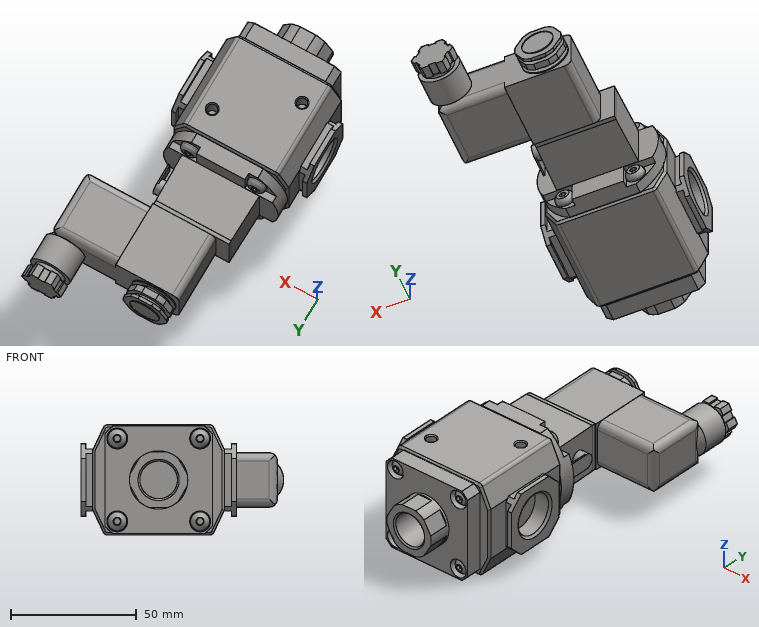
import cadquery as cq
import math


BODY_FRONT = -22.6
BODY_REAR = 21.6
BODY_HALF_WIDTH = 26.3
BODY_HALF_HEIGHT = 22.0
BODY_SIDE_FLAT_HALF = 11.8
BODY_TOP_HALF = 21.5
BODY_EDGE_RADIUS = 2.0
BODY_END_CHAMFER = 1.0

MOUNT_HOLE_X = 14.9
MOUNT_HOLE_Y = 10.0
MOUNT_HOLE_DIAMETER = 4.46
MOUNT_HOLE_MOUTH = 5.5
MOUNT_HOLE_DEPTH = 8.0

PORT_FACE_X = 31.0
PORT_FLANGE_THICKNESS = 2.0
PORT_FLANGE_SIZE = 29.0
PORT_FLANGE_CHAMFER = 6.0
PORT_NECK_SIZE = 24.8
PORT_NECK_CHAMFER = 1.8
PORT_BORE = 18.63
PORT_MOUTH = 20.7
PORT_DEPTH = 8.0

COVER_FRONT = -30.1
COVER_SIZE = 42.8
COVER_CHAMFER = 3.0
NUT_FRONT = -41.0
NUT_COLLAR_FRONT = -31.3
NUT_DIAMETER = 23.2
NUT_ACROSS_FLATS = 22.1
NUT_BORE = 14.95
NUT_MOUTH = 16.4
NUT_BORE_DEPTH = 14.0

COVER_SCREW_PITCH = 16.5
COVER_SCREW_RECESS = 8.3
COVER_SCREW_RECESS_DEPTH = 3.5
COVER_SCREW_HEAD = 7.6
COVER_SCREW_TIP = 3.2
SCREW_RIM_HEIGHT = 0.7
SCREW_HEAD_HEIGHT = 3.0
SCREW_DOME_BULGE = 0.4
SCREW_HEX = 2.5
SCREW_HEX_DEPTH = 1.5

PLATE_REAR = 29.3
PLATE_RADIUS = 26.25
PLATE_HALF_HEIGHT = 21.4
PLATE_POCKET_FLOOR = 26.2
PLATE_POCKET_X = 11.1
PLATE_POCKET_Z = 11.3
PLATE_SCREW_PITCH = 15.25
PLATE_SCREW_HEAD = 8.3
PLATE_SCREW_TIP = 5.5

SOLENOID_HALF_HEIGHT = 11.0
BASE_REAR = 52.9
BASE_DRAFT_START = 51.2
BASE_HALF_WIDTH = 17.25
BASE_BAND_HALF_HEIGHT = 10.9
BASE_FOOT_HALF_WIDTH = 17.7

OVERRIDE_Y = 42.2
OVERRIDE_DIAMETER = 6.9
OVERRIDE_LEVER_X = 21.1
OVERRIDE_LEVER_THICKNESS = 0.7
OVERRIDE_LEVER_END = 33.1

COIL_LEFT = -11.2
COIL_RIGHT = 17.7
COIL_REAR = 82.7
COIL_RADIUS = 3.0
PLUG_RIGHT = 47.3
PLUG_FRONT = 53.8
PLUG_RADIUS = 3.4
PLUG_HALF_HEIGHT = 10.9

GLAND_CORE_DIAMETER = 14.95
GLAND_TIP_DIAMETER = 13.5
GLAND_CORE_REAR = 89.0
GLAND_REAR = 90.8
GLAND_RING_DIAMETER = 20.0
GLAND_HEX = 19.0
GLAND_WASHER_THICKNESS = 0.5
GLAND_RINGS = [(84.6, 87.4), (89.0, 90.4)]

CABLE_X = 40.8
CABLE_DIAMETER = 18.0
CABLE_CONE_START = 79.6
CABLE_CONE_DIAMETER = 12.6
CABLE_BARREL_REAR = 94.8
CABLE_NECK_DIAMETER = 13.5
CAP_FRONT = 96.7
CAP_REAR = 102.0
CAP_CORNER_RADIUS = 9.0
CAP_NOTCH_DEPTH = 0.8
HEX_SIDES = 6


def plane_at(y):
    """Plane across the stem axis: local x = X, local y = Z, normal = -Y."""
    return cq.Plane(origin=(0, y, 0), xDir=(1, 0, 0), normal=(0, -1, 0))


def sketch(y, x=0.0, z=0.0):
    return cq.Workplane(plane_at(y)).center(x, z)


def cylinder_y(diameter, y_start, y_end, x=0.0, z=0.0):
    return sketch(y_end, x, z).circle(diameter / 2).extrude(y_end - y_start)


def hexagon_y(across_flats, y_start, y_end, x=0.0, z=0.0):
    corner_diameter = across_flats / math.cos(math.pi / HEX_SIDES)
    return sketch(y_end, x, z).polygon(HEX_SIDES, corner_diameter).extrude(y_end - y_start)


def box_between(x_range, y_range, z_range):
    size = [high - low for low, high in (x_range, y_range, z_range)]
    corner = (x_range[0], y_range[0], z_range[0])
    return cq.Workplane("XY").box(*size, centered=False).translate(corner)


def cone(start_diameter, end_diameter, length, start, direction):
    solid = cq.Solid.makeCone(
        start_diameter / 2, end_diameter / 2, length, cq.Vector(*start), cq.Vector(*direction)
    )
    return cq.Workplane(solid)


def mouth_chamfer(mouth_diameter, bore_diameter, start, direction):
    """45 degree countersink tool from the mouth down to the bore."""
    depth = (mouth_diameter - bore_diameter) / 2
    return cone(mouth_diameter, bore_diameter, depth, start, direction)


def make_body():
    quarter = [(BODY_TOP_HALF, BODY_HALF_HEIGHT), (BODY_HALF_WIDTH, BODY_SIDE_FLAT_HALF)]
    right_side = quarter + [(x, -z) for x, z in reversed(quarter)]
    left_side = [(-x, -z) for x, z in right_side]
    body = sketch(BODY_REAR).polyline(right_side + left_side).close().extrude(BODY_REAR - BODY_FRONT)
    for flat_face in (">Z", "<Z"):
        body = body.faces(flat_face).edges("|Y").fillet(BODY_EDGE_RADIUS)
    body = body.faces("<Y or >Y").chamfer(BODY_END_CHAMFER)
    for side in (-1, 1):
        start = (side * MOUNT_HOLE_X, side * MOUNT_HOLE_Y, BODY_HALF_HEIGHT)
        hole = cq.Workplane("XY", origin=start).circle(MOUNT_HOLE_DIAMETER / 2).extrude(-MOUNT_HOLE_DEPTH)
        body = body.cut(hole).cut(mouth_chamfer(MOUNT_HOLE_MOUTH, MOUNT_HOLE_DIAMETER, start, (0, 0, -1)))
    return body


def port_block(size, chamfer, x_end):
    """Square block with cut corners, from the centre plane out to x_end."""
    return cq.Workplane("YZ").rect(size, size).extrude(x_end).edges("|X").chamfer(chamfer)


def add_port(valve, side):
    neck = port_block(PORT_NECK_SIZE, PORT_NECK_CHAMFER, PORT_FACE_X)
    flange = port_block(PORT_FLANGE_SIZE, PORT_FLANGE_CHAMFER, PORT_FACE_X)
    face = cq.Workplane("YZ", origin=(PORT_FACE_X, 0, 0))
    flange_slab = face.rect(PORT_FLANGE_SIZE, PORT_FLANGE_SIZE).extrude(-PORT_FLANGE_THICKNESS)
    flange = flange.intersect(flange_slab)
    bore = face.circle(PORT_BORE / 2).extrude(-PORT_DEPTH)
    bore = bore.union(mouth_chamfer(PORT_MOUTH, PORT_BORE, (PORT_FACE_X, 0, 0), (-1, 0, 0)))
    port = neck.union(flange)
    if side < 0:
        port = port.mirror("YZ")
        bore = bore.mirror("YZ")
    return valve.union(port).cut(bore)


def make_screw_head(diameter, tip_diameter, seat_y, facing, x, z):
    """Button head with a hexagon socket; facing is +1 or -1 along Y."""
    rim = diameter / 2
    tip = tip_diameter / 2
    middle = ((rim + tip) / 2 + SCREW_DOME_BULGE, (SCREW_RIM_HEIGHT + SCREW_HEAD_HEIGHT) / 2)
    head = (
        cq.Workplane("XY")
        .lineTo(rim, 0)
        .lineTo(rim, SCREW_RIM_HEIGHT)
        .threePointArc(middle, (tip, SCREW_HEAD_HEIGHT))
        .lineTo(0, SCREW_HEAD_HEIGHT)
        .close()
        .revolve(360, (0, 0), (0, 1))
    )
    socket_floor = SCREW_HEAD_HEIGHT - SCREW_HEX_DEPTH
    head = head.cut(hexagon_y(SCREW_HEX, socket_floor, SCREW_HEAD_HEIGHT))
    if facing < 0:
        head = head.mirror("XZ")
    return head.translate((x, seat_y, z))


def corner_signs():
    return [(sx, sz) for sx in (-1, 1) for sz in (-1, 1)]


def make_cover():
    cover = sketch(BODY_FRONT).rect(COVER_SIZE, COVER_SIZE).extrude(BODY_FRONT - COVER_FRONT)
    cover = cover.edges("|Y").chamfer(COVER_CHAMFER)
    seat = COVER_FRONT + COVER_SCREW_RECESS_DEPTH
    for sx, sz in corner_signs():
        x = sx * COVER_SCREW_PITCH
        z = sz * COVER_SCREW_PITCH
        cover = cover.cut(cylinder_y(COVER_SCREW_RECESS, COVER_FRONT, seat, x, z))
        cover = cover.union(make_screw_head(COVER_SCREW_HEAD, COVER_SCREW_TIP, seat, -1, x, z))
    return cover


def add_exhaust_nut(valve):
    collar = cylinder_y(NUT_DIAMETER, NUT_COLLAR_FRONT, COVER_FRONT)
    grip = cylinder_y(NUT_DIAMETER, NUT_FRONT, NUT_COLLAR_FRONT)
    grip = grip.intersect(hexagon_y(NUT_ACROSS_FLATS, NUT_FRONT, NUT_COLLAR_FRONT))
    bore = cylinder_y(NUT_BORE, NUT_FRONT, NUT_FRONT + NUT_BORE_DEPTH)
    bore = bore.union(mouth_chamfer(NUT_MOUTH, NUT_BORE, (0, NUT_FRONT, 0), (0, 1, 0)))
    return valve.union(collar).union(grip).cut(bore)


def make_rear_plate():
    plate = cylinder_y(2 * PLATE_RADIUS, BODY_REAR, PLATE_REAR)
    plate = plate.intersect(box_between(
        (-PLATE_RADIUS, PLATE_RADIUS),
        (BODY_REAR, PLATE_REAR),
        (-PLATE_HALF_HEIGHT, PLATE_HALF_HEIGHT),
    ))
    for sx, sz in corner_signs():
        pocket = box_between(
            sorted((sx * PLATE_POCKET_X, sx * PLATE_RADIUS)),
            (PLATE_POCKET_FLOOR, PLATE_REAR),
            sorted((sz * PLATE_POCKET_Z, sz * PLATE_HALF_HEIGHT)),
        )
        plate = plate.cut(pocket)
        x = sx * PLATE_SCREW_PITCH
        z = sz * PLATE_SCREW_PITCH
        plate = plate.union(make_screw_head(PLATE_SCREW_HEAD, PLATE_SCREW_TIP, PLATE_POCKET_FLOOR, 1, x, z))
    return plate


def make_solenoid_base():
    foot = [(BASE_FOOT_HALF_WIDTH, PLATE_REAR), (BASE_HALF_WIDTH, BASE_DRAFT_START)]
    foot += [(-x, y) for x, y in reversed(foot)]
    base = cq.Workplane("XY").polyline(foot).close().extrude(SOLENOID_HALF_HEIGHT, both=True)
    band = box_between(
        (-BASE_HALF_WIDTH, BASE_HALF_WIDTH),
        (BASE_DRAFT_START, BASE_REAR),
        (-BASE_BAND_HALF_HEIGHT, BASE_BAND_HALF_HEIGHT),
    )
    return base.union(band)


def make_override():
    lever_face = OVERRIDE_LEVER_X + OVERRIDE_LEVER_THICKNESS
    radius = OVERRIDE_DIAMETER / 2
    stem = cq.Workplane("YZ").center(OVERRIDE_Y, 0).circle(radius).extrude(lever_face)
    lever = box_between(
        (OVERRIDE_LEVER_X, lever_face), (OVERRIDE_LEVER_END, OVERRIDE_Y), (-radius, radius)
    )
    return stem.union(lever)


def make_coil():
    coil = box_between(
        (COIL_LEFT, COIL_RIGHT), (BASE_REAR, COIL_REAR), (-SOLENOID_HALF_HEIGHT, SOLENOID_HALF_HEIGHT)
    )
    return coil.edges("|Y and <X").fillet(COIL_RADIUS)


def make_plug_housing():
    """Block rounded along X, Y and Z separately, so the rounds meet in mitred corners."""
    block = box_between(
        (COIL_RIGHT, PLUG_RIGHT), (PLUG_FRONT, COIL_REAR), (-PLUG_HALF_HEIGHT, PLUG_HALF_HEIGHT)
    )
    plug = block.edges("|X").fillet(PLUG_RADIUS)
    for end_edges in ("|Y and >X", "|Z and >X"):
        plug = plug.intersect(block.edges(end_edges).fillet(PLUG_RADIUS))
    return plug


def make_coil_gland():
    gland = cylinder_y(GLAND_CORE_DIAMETER, COIL_REAR, GLAND_CORE_REAR)
    gland = gland.union(cylinder_y(GLAND_TIP_DIAMETER, GLAND_CORE_REAR, GLAND_REAR))
    gland = gland.union(cylinder_y(GLAND_RING_DIAMETER, COIL_REAR, COIL_REAR + GLAND_WASHER_THICKNESS))
    for start, end in GLAND_RINGS:
        ring = cylinder_y(GLAND_RING_DIAMETER, start, end)
        gland = gland.union(ring.intersect(hexagon_y(GLAND_HEX, start, end)))
    return gland


def cap_outline():
    """Hexagon with the middle third of every side set back."""
    side = CAP_CORNER_RADIUS
    apothem = CAP_CORNER_RADIUS * math.cos(math.pi / HEX_SIDES)
    floor = apothem - CAP_NOTCH_DEPTH
    notch_half = side / 6
    side_points = [
        (-side / 2, apothem),
        (-notch_half, apothem),
        (-notch_half, floor),
        (notch_half, floor),
        (notch_half, apothem),
    ]
    points = []
    for index in range(HEX_SIDES):
        angle = -2 * math.pi * index / HEX_SIDES
        for x, z in side_points:
            points.append((
                x * math.cos(angle) - z * math.sin(angle),
                x * math.sin(angle) + z * math.cos(angle),
            ))
    return points


def make_cable_gland():
    cone_length = COIL_REAR - CABLE_CONE_START
    gland = cone(CABLE_CONE_DIAMETER, CABLE_DIAMETER, cone_length, (CABLE_X, CABLE_CONE_START, 0), (0, 1, 0))
    gland = gland.union(cylinder_y(CABLE_DIAMETER, COIL_REAR, CABLE_BARREL_REAR, CABLE_X))
    gland = gland.union(cylinder_y(CABLE_NECK_DIAMETER, CABLE_BARREL_REAR, CAP_FRONT, CABLE_X))
    cap = sketch(CAP_REAR, CABLE_X).polyline(cap_outline()).close().extrude(CAP_REAR - CAP_FRONT)
    return gland.union(cap)


result = make_body().union(make_cover()).union(make_rear_plate())
for port_side in (-1, 1):
    result = add_port(result, port_side)
result = add_exhaust_nut(result)
for section in (
    make_solenoid_base(),
    make_override(),
    make_coil(),
    make_plug_housing(),
    make_coil_gland(),
    make_cable_gland(),
):
    result = result.union(section)